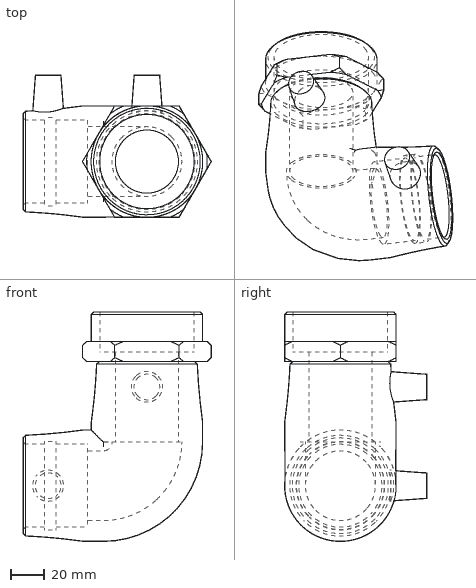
import cadquery as cq

pipe_radius = 33.5
bend_start = 26.2
collar_end = 38.4
inlet_end = 74.4
neck_end = 74.5

neck_radius = 30.4
neck_chamfer = 1.5
taper_sag = 0.4

hex_across_flats = 2 * pipe_radius
hex_top = 86.8
hex_chamfer = 2.5
coupling_top = 104.5
coupling_chamfer = 1.5
coupling_bore_radius = 56.7 / 2
coupling_bore_depth = 24.2

outlet_bore_radius = 38.0 / 2
inlet_bore_radius = 21.0

socket_radius = 50.0 / 2
socket_depth = 38.6
socket_chamfer = 1.4
groove_radius = 26.6
groove_start = 12.7
groove_width = 6.9

stud_distance = 59.3
stud_root_y = 27.6
stud_root_radius = 9.5
stud_tip_y = 52.0
stud_tip_radius = 7.7


def disc_z(radius, bottom, top):
    """Cylinder around the outlet axis."""
    return cq.Workplane("XY").workplane(offset=bottom).circle(radius).extrude(top - bottom)


def disc_x(radius, left, right):
    """Cylinder around the inlet axis."""
    return cq.Workplane("YZ").workplane(offset=left).circle(radius).extrude(right - left)


def bend(radius):
    """Quarter-turn pipe around (-bend_start, bend_start), cut off at its turning axis."""
    section = (
        cq.Sketch()
        .circle(radius)
        .push([(2 * radius - bend_start, 0)])
        .rect(4 * radius, 4 * radius, mode="i")
    )
    return (
        cq.Workplane("XY", origin=(0, 0, bend_start))
        .placeSketch(section)
        .revolve(90, (-bend_start, 0), (-bend_start, 1))
    )


def pipe_end(length):
    """Collar and inward-bowed taper around Z, from the bend to the given distance."""
    rim = length - neck_chamfer
    middle_radius = (pipe_radius + neck_radius) / 2 - taper_sag
    return (
        cq.Workplane("XZ")
        .moveTo(0, bend_start)
        .lineTo(pipe_radius, bend_start)
        .lineTo(pipe_radius, collar_end)
        .threePointArc((middle_radius, (collar_end + rim) / 2), (neck_radius, rim))
        .lineTo(neck_radius - neck_chamfer, length)
        .lineTo(0, length)
        .close()
        .revolve(360, (0, 0), (0, 1))
    )


def hex_nut():
    """Hexagon with its corners on the X axis, bevelled at both faces."""
    height = hex_top - neck_end
    corner_radius = hex_across_flats / 3 ** 0.5
    hexagon = cq.Workplane("XY").workplane(offset=neck_end).polygon(6, 2 * corner_radius).extrude(height)
    return hexagon.intersect(disc_z(corner_radius, neck_end, hex_top).edges().chamfer(hex_chamfer))


def stud(x, z):
    return (
        cq.Workplane("XY")
        .moveTo(0, stud_root_y)
        .lineTo(stud_root_radius, stud_root_y)
        .lineTo(stud_tip_radius, stud_tip_y)
        .lineTo(0, stud_tip_y)
        .close()
        .revolve(360, (0, 0), (0, 1))
        .translate((x, 0, z))
    )


def passage():
    """Coupling bore, curved passage and inlet socket with its mouth bevel and ring groove."""
    floor = coupling_top - coupling_bore_depth
    groove_left = groove_start - inlet_end
    mouth = (
        cq.Workplane("YZ", origin=(-inlet_end, 0, 0))
        .circle(socket_radius + socket_chamfer)
        .workplane(offset=socket_chamfer)
        .circle(socket_radius)
        .loft()
    )
    return (
        bend(inlet_bore_radius)
        .union(disc_z(outlet_bore_radius, bend_start, coupling_top))
        .union(disc_z(coupling_bore_radius, floor, coupling_top))
        .union(disc_x(inlet_bore_radius, -inlet_end, -bend_start))
        .union(disc_x(socket_radius, -inlet_end, -inlet_end + socket_depth))
        .union(disc_x(groove_radius, groove_left, groove_left + groove_width))
        .union(mouth)
    )


coupling = disc_z(pipe_radius, hex_top, coupling_top).faces(">Z").edges().chamfer(coupling_chamfer)
outlet = pipe_end(neck_end).union(hex_nut()).union(coupling)
inlet = pipe_end(inlet_end).rotate((0, 0, 0), (0, 1, 0), -90)

body = bend(pipe_radius).union(outlet).union(inlet)
body = body.union(stud(-stud_distance, 0)).union(stud(0, stud_distance))
result = body.cut(passage())